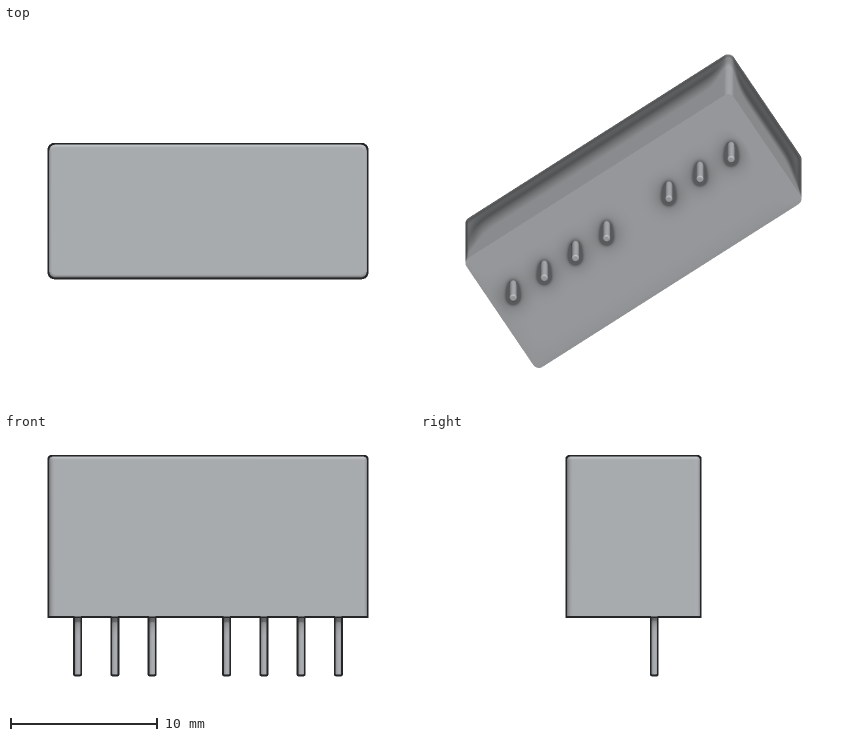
import cadquery as cq

CASE_LENGTH = 21.8
CASE_WIDTH = 9.2
CASE_HEIGHT = 11.0
CORNER_RADIUS = 0.45
TOP_EDGE_RADIUS = 0.26

PIN_DIAMETER = 0.5
PIN_LENGTH = 4.0
PIN_TIP_RADIUS = 0.1
PIN_ROW_SPAN = 17.79
PIN_POSITIONS = [0, 1, 2, 4, 5, 6, 7]
PIN_PITCH = PIN_ROW_SPAN / max(PIN_POSITIONS)
FIRST_PIN_X = -PIN_ROW_SPAN / 2
PIN_ROW_Y = 1.42


def make_case():
    """Box with rounded upright corners and a rounded top rim."""
    case = cq.Workplane("XY").box(CASE_LENGTH, CASE_WIDTH, CASE_HEIGHT, centered=(True, True, False))
    case = case.edges("|Z").fillet(CORNER_RADIUS)
    return case.faces(">Z").edges().fillet(TOP_EDGE_RADIUS)


def make_pin(x):
    """Round pin hanging from the case underside, with a rounded tip."""
    pin = cq.Workplane("XY").center(x, PIN_ROW_Y).circle(PIN_DIAMETER / 2).extrude(-PIN_LENGTH)
    return pin.faces("<Z").edges().fillet(PIN_TIP_RADIUS)


case = make_case()

pins = []
for position in PIN_POSITIONS:
    pin = make_pin(FIRST_PIN_X + position * PIN_PITCH)
    pins.append(pin.val())

result = cq.Compound.makeCompound([case.val(), *pins])